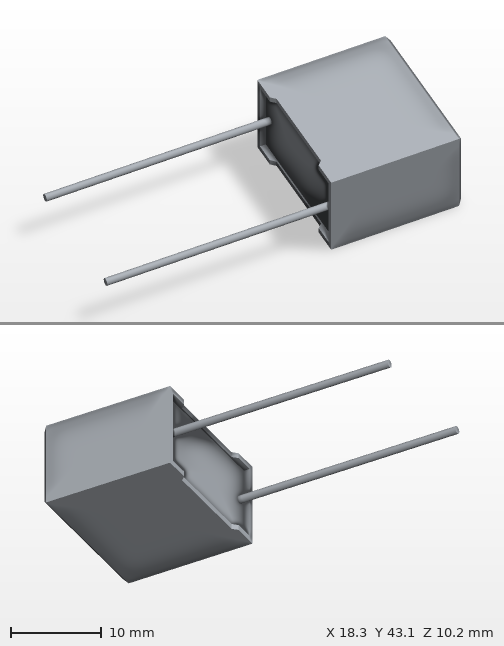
import cadquery as cq

total_length = 43.1
case_width = 18.3
case_height = 10.2
case_length = 16.15
wall = 0.65
end_chamfer = 0.45
notch_depth = 0.55
notch_mouth_width = 12.1
fill_recess = 0.75
lead_diameter = 0.9
lead_pitch = 15.0

lead_tip_y = -total_length / 2
closed_end_y = total_length / 2
open_end_y = closed_end_y - case_length
fill_face_y = open_end_y + fill_recess
fill_length = case_length - fill_recess - wall

cavity_width = case_width - 2 * wall
cavity_height = case_height - 2 * wall
cavity_length = case_length - wall


def block(width, height, start_y, length):
    """Box centred on X and Z, running from start_y toward +Y."""
    return cq.Workplane("XY").box(
        width, length, height, centered=(True, False, True)
    ).translate((0, start_y, 0))


def make_notch():
    """Shallow notch with 45 degree ends, cut through the top and bottom rims."""
    mouth_x = notch_mouth_width / 2
    floor_x = mouth_x - notch_depth
    floor_y = open_end_y + notch_depth
    return (
        cq.Workplane("XY")
        .polyline([(-mouth_x, open_end_y), (mouth_x, open_end_y), (floor_x, floor_y), (-floor_x, floor_y)])
        .close()
        .extrude(case_height / 2, both=True)
    )


def make_case():
    """Box open toward -Y, with a chamfered closed end and a notched rim."""
    case = block(case_width, case_height, open_end_y, case_length)
    case = case.faces(">Y").chamfer(end_chamfer)
    case = case.cut(block(cavity_width, cavity_height, open_end_y, cavity_length))
    return case.cut(make_notch())


def make_fill():
    """Potting block that fills the cavity to just below the rim."""
    return block(cavity_width, cavity_height, fill_face_y, fill_length)


def make_lead(x):
    """Round wire lead standing on the face of the fill."""
    lead_length = fill_face_y - lead_tip_y
    return (
        cq.Workplane("XZ", origin=(x, fill_face_y, 0))
        .circle(lead_diameter / 2)
        .extrude(lead_length)
    )


case = make_case()
fill = make_fill()
leads = [make_lead(side * lead_pitch / 2) for side in (-1, 1)]

result = cq.Compound.makeCompound([case.val(), fill.val(), *[lead.val() for lead in leads]])